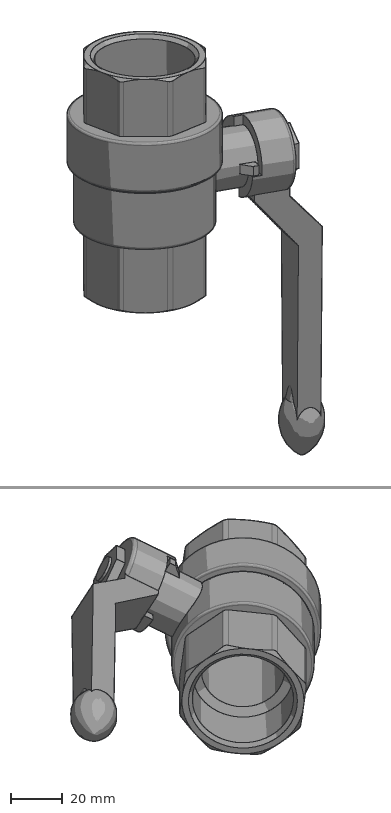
import cadquery as cq
import math


body_half_length = 49.0
wrench_flats = 47.0
wrench_corner_fillet = 3.0
wrench_sides = 8
end_chamfer_drop = 1.3
collar_diameter = 60.0
collar_top = 25.0
collar_bottom = 4.0
collar_fillet = 1.0
sleeve_diameter = 55.0
sleeve_bottom = -21.0
sleeve_fillet = 1.0
neck_diameter = 54.0
neck_bottom = 2.8

bore_diameter = 32.0
socket_diameter = 38.95
socket_depth = 21.0
socket_chamfer = 1.5
socket_floor_angle = 30.0

stem_diameter = 24.0
hub_diameter = 32.0
hub_back = 42.4
hub_front = 57.2
hub_fillet = 1.5
skirt_back = 38.5
skirt_offset = 2.4
lug_width = 4.0
lug_front = 41.2
lug_slope_start = 38.8
nut_sides = 6
nut_flats = 18.0
nut_front = 61.0
bolt_diameter = 10.4
bolt_front = 62.1

lever_thickness = 10.0
lever_axis_y = 66.0
lever_root_z = -16.2
lever_outer_bend_z = -31.6
lever_inner_bend_z = -38.0
lever_axis_width = 18.0
lever_end_width = 14.0

grip_radius = 9.0
grip_center_z = -115.0
grip_tip_z = -130.0
grip_cone_start_z = -105.7
grip_top_z = -100.0
grip_top_radius = 5.0


def z_cylinder(diameter, bottom, top):
    return cq.Workplane("XY").workplane(offset=bottom).circle(diameter / 2).extrude(top - bottom)


def y_plane(y):
    """Workplane at station y that extrudes toward +Y."""
    return cq.Workplane(cq.Plane(origin=(0, y, 0), xDir=(1, 0, 0), normal=(0, 1, 0)))


def y_cylinder(diameter, back, front):
    return y_plane(back).circle(diameter / 2).extrude(front - back)


def make_wrench_body():
    """Octagonal bar with rounded corners and both ends chamfered."""
    length = 2 * body_half_length
    half_step = math.pi / wrench_sides
    corner_diameter = wrench_flats / math.cos(half_step)
    octagon = (
        cq.Workplane("XY")
        .workplane(offset=-body_half_length)
        .polygon(wrench_sides, corner_diameter)
        .extrude(length)
        .edges("|Z")
        .fillet(wrench_corner_fillet)
    )
    end_chamfer = (corner_diameter - wrench_flats) / 2
    blank = (
        z_cylinder(corner_diameter, -body_half_length, body_half_length)
        .faces("|Z")
        .chamfer(end_chamfer_drop, end_chamfer)
    )
    return octagon.intersect(blank)


def make_body():
    collar = z_cylinder(collar_diameter, collar_bottom, collar_top).edges("%CIRCLE").fillet(collar_fillet)
    neck = z_cylinder(neck_diameter, neck_bottom, collar_bottom)
    sleeve = z_cylinder(sleeve_diameter, sleeve_bottom, neck_bottom)
    sleeve = sleeve.faces("<Z").edges().fillet(sleeve_fillet)
    return make_wrench_body().union(collar).union(neck).union(sleeve)


def make_passage():
    """Through bore with a chamfered, cone-floored socket at each end."""
    passage = z_cylinder(bore_diameter, -body_half_length, body_half_length)
    bore_radius = bore_diameter / 2
    socket_radius = socket_diameter / 2
    floor_z = body_half_length - socket_depth
    floor_drop = (socket_radius - bore_radius) * math.tan(math.radians(socket_floor_angle))
    mouth_radius = socket_radius + socket_chamfer
    socket = (
        cq.Workplane("XZ")
        .moveTo(0, floor_z - floor_drop)
        .lineTo(bore_radius, floor_z - floor_drop)
        .lineTo(socket_radius, floor_z)
        .lineTo(socket_radius, body_half_length - socket_chamfer)
        .lineTo(mouth_radius, body_half_length)
        .lineTo(0, body_half_length)
        .close()
        .revolve(360, (0, 0, 0), (0, 1, 0))
    )
    return passage.union(socket).union(socket.mirror("XY"))


def make_skirt():
    """Two opposite quarter skirts behind the hub that act as turning stops."""
    skirt_length = hub_back - skirt_back
    ring = y_cylinder(hub_diameter, skirt_back, hub_back)
    reach = hub_diameter
    quarters = cq.Workplane("XY")
    for side in (-1, 1):
        center = skirt_offset + reach / 2
        quarter = cq.Workplane("XY").box(reach, skirt_length, reach)
        quarter = quarter.translate((side * center, skirt_back + skirt_length / 2, -side * center))
        quarters = quarters.add(quarter)
    return ring.intersect(quarters.combine())


def make_lugs():
    """Stop lugs on both sides of the stem, sloped at 45 degrees toward the body."""
    hub_radius = hub_diameter / 2
    stem_radius = stem_diameter / 2
    slope_end = lug_slope_start - (hub_radius - stem_radius)
    lug = (
        cq.Workplane("XY")
        .workplane(offset=-lug_width / 2)
        .moveTo(0, slope_end)
        .lineTo(stem_radius, slope_end)
        .lineTo(hub_radius, lug_slope_start)
        .lineTo(hub_radius, lug_front)
        .lineTo(0, lug_front)
        .close()
        .extrude(lug_width)
        .intersect(y_cylinder(hub_diameter, slope_end, lug_front))
    )
    return lug.union(lug.mirror("YZ"))


def make_stem():
    stem = y_cylinder(stem_diameter, 0, hub_back)
    hub = y_cylinder(hub_diameter, hub_back, hub_front).faces(">Y").edges().fillet(hub_fillet)
    nut_corner_diameter = nut_flats / math.cos(math.pi / nut_sides)
    nut = y_plane(hub_front).polygon(nut_sides, nut_corner_diameter).extrude(nut_front - hub_front)
    nut = nut.rotate((0, 0, 0), (0, 1, 0), 180 / nut_sides)
    bolt = y_cylinder(bolt_diameter, hub_front, bolt_front)
    return stem.union(hub).union(make_skirt()).union(make_lugs()).union(nut).union(bolt)


def make_lever():
    """Cranked flat bar whose width tapers evenly from the stem axis to the grip."""
    outer_y = lever_axis_y + lever_thickness / 2
    inner_y = lever_axis_y - lever_thickness / 2
    crank = (
        cq.Workplane("YZ")
        .moveTo(hub_back, 0)
        .lineTo(hub_back, lever_root_z)
        .lineTo(inner_y, lever_inner_bend_z)
        .lineTo(inner_y, grip_center_z)
        .lineTo(outer_y, grip_center_z)
        .lineTo(outer_y, lever_outer_bend_z)
        .lineTo(hub_front, lever_root_z)
        .lineTo(hub_front, 0)
        .close()
        .extrude(lever_axis_width / 2, both=True)
    )
    half_root = lever_axis_width / 2
    half_end = lever_end_width / 2
    taper = (
        cq.Workplane("XZ")
        .polyline([(-half_root, 0), (half_root, 0), (half_end, grip_center_z), (-half_end, grip_center_z)])
        .close()
        .extrude(-(outer_y + lever_thickness))
    )
    return crank.intersect(taper)


def make_grip():
    """Pointed bulb turned about the lever axis, with a conical collar at its top."""
    half_length = grip_center_z - grip_tip_z
    arc_radius = (grip_radius**2 + half_length**2) / (2 * grip_radius)
    cone_start_rise = grip_cone_start_z - grip_center_z
    cone_start_radius = grip_radius - arc_radius + math.sqrt(arc_radius**2 - cone_start_rise**2)
    grip = (
        cq.Workplane("XZ")
        .moveTo(0, grip_tip_z)
        .threePointArc((grip_radius, grip_center_z), (cone_start_radius, grip_cone_start_z))
        .lineTo(grip_top_radius, grip_top_z)
        .lineTo(0, grip_top_z)
        .close()
        .revolve(360, (0, 0, 0), (0, 1, 0))
    )
    return grip.translate((0, lever_axis_y, 0))


result = (
    make_body()
    .union(make_stem())
    .union(make_lever())
    .union(make_grip())
    .cut(make_passage())
)